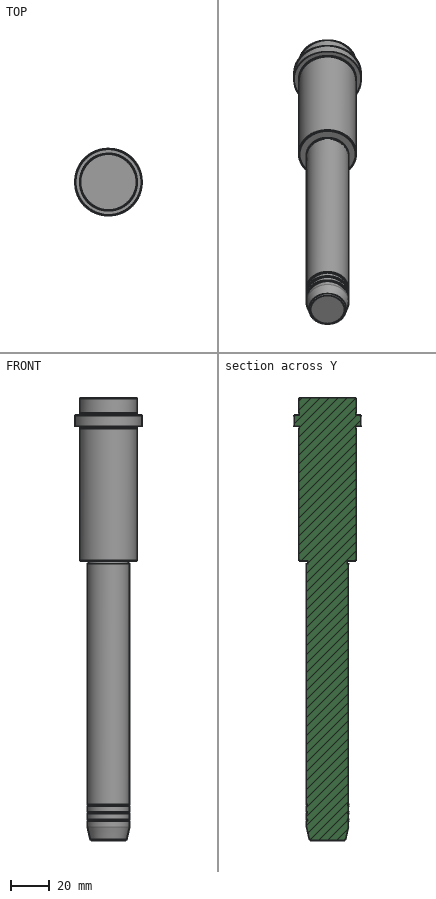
import cadquery as cq

length = 230.0
collar_diameter = 35.0
shank_diameter = 30.0
pin_diameter = 22.0

shank_bottom = 145.1
collar_bottom = 215.0
collar_top = 221.0

collar_chamfer = 0.5
shank_chamfer = 0.5
head_chamfer = 0.5
neck_diameter = 21.0
neck_height = 1.4

tip_height = 7.1
tip_diameter = 18.9
tip_chamfer = 0.7

groove_count = 3
groove_pitch = 4.0
lowest_groove = 10.5
groove_width = 1.0
groove_depth = 0.58

relief_width = 1.2
relief_depth = 0.2


def cylinder(diameter, bottom, top):
    return cq.Workplane("XY").workplane(offset=bottom).circle(diameter / 2).extrude(top - bottom)


def make_shank():
    shank = cylinder(shank_diameter, shank_bottom, length)
    return shank.faces("<Z").chamfer(shank_chamfer).faces(">Z").chamfer(head_chamfer)


def make_collar():
    return cylinder(collar_diameter, collar_bottom, collar_top).faces(">Z").chamfer(collar_chamfer)


def make_pin():
    pin_top = shank_bottom - neck_height
    tip = (
        cq.Workplane("XY")
        .circle(tip_diameter / 2)
        .workplane(offset=tip_height)
        .circle(pin_diameter / 2)
        .loft()
        .faces("<Z")
        .chamfer(tip_chamfer)
    )
    pin = tip.union(cylinder(pin_diameter, tip_height, pin_top))
    return pin.union(cylinder(neck_diameter, pin_top, shank_bottom))


def make_groove(diameter, middle, width, depth):
    """V-shaped ring whose root points at the axis."""
    surface = diameter / 2
    return (
        cq.Workplane("XZ")
        .moveTo(surface, middle - width / 2)
        .lineTo(surface - depth, middle)
        .lineTo(surface, middle + width / 2)
        .close()
        .revolve(360, (0, 0, 0), (0, 1, 0))
    )


shank = make_shank()
for relief_middle in (collar_bottom - relief_width / 2, collar_top + relief_width / 2):
    shank = shank.cut(make_groove(shank_diameter, relief_middle, relief_width, relief_depth))

pin = make_pin()
for index in range(groove_count):
    groove_middle = lowest_groove + index * groove_pitch
    pin = pin.cut(make_groove(pin_diameter, groove_middle, groove_width, groove_depth))

result = pin.union(shank).union(make_collar())